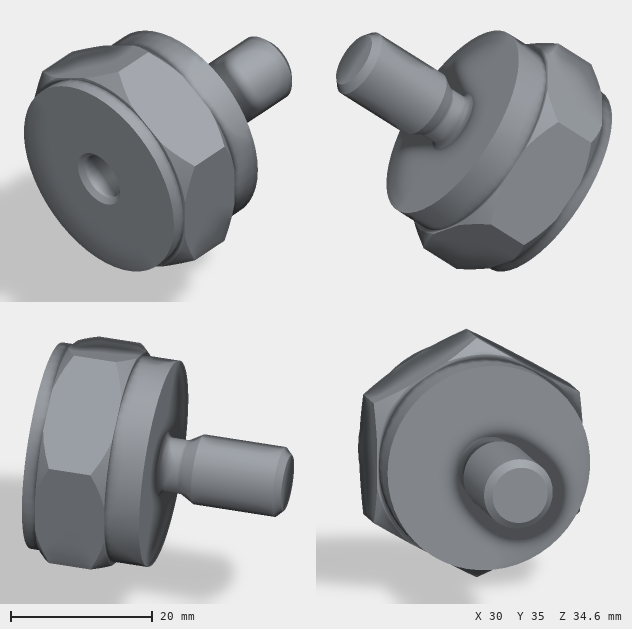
import cadquery as cq
import math

total_length = 35.0

across_flats = 30.0
across_corners = across_flats / math.cos(math.radians(30))
collar_diameter = 29.5
front_collar_length = 2.0
hex_length = 10.0
rear_collar_length = 5.0
hex_start = front_collar_length
hex_end = hex_start + hex_length
body_length = hex_end + rear_collar_length
corner_chamfer = 2.0

stud_diameter = 10.0
stud_chamfer = 1.0
thread_length = 12.8
neck_diameter = 7.7
neck_blend_radius = 0.8
runout_angle = math.radians(30)
flare_angle = math.radians(60)
flare_diameter = 9.05

hole_diameter = 6.8
hole_mouth_diameter = 8.22
hole_depth = 12.0
drill_point_angle = math.radians(118)


def cylinder(diameter, start, end):
    """Round bar along Y between two stations."""
    return cq.Workplane("XZ", origin=(0, start, 0)).circle(diameter / 2).extrude(start - end)


def revolve_about_y(outline):
    """Turn a half-profile whose first coordinate is the radius and second is Y."""
    return outline.close().revolve(360, (0, 0), (0, 1))


def make_hexagon():
    """Hexagon with corners at +Z and -Z, chamfered at 45 degrees at both ends."""
    prism = (
        cq.Workplane("XZ", origin=(0, hex_start, 0))
        .transformed(rotate=(0, 0, 90))
        .polygon(6, across_corners)
        .extrude(-hex_length)
    )
    clearance = 0.35
    envelope_diameter = across_corners + 2 * clearance
    envelope = cylinder(envelope_diameter, hex_start, hex_end).edges().chamfer(corner_chamfer + clearance)
    return prism.intersect(envelope)


def blend_point(neck_station, turn, direction):
    """Point on the arc that leaves the neck tangentially at neck_station, after a given turn."""
    radius = neck_diameter / 2 + neck_blend_radius * (1 - math.cos(turn))
    return radius, neck_station + direction * neck_blend_radius * math.sin(turn)


def make_stud():
    """Stud whose neck flares into the body and runs out conically to the thread."""
    neck_radius = neck_diameter / 2
    stud_radius = stud_diameter / 2
    flare_radius = flare_diameter / 2
    thread_start = total_length - thread_length

    flare_step = flare_radius - neck_radius - neck_blend_radius * (1 - math.cos(flare_angle))
    flare_length = flare_step / math.tan(flare_angle)
    neck_start = body_length + flare_length + neck_blend_radius * math.sin(flare_angle)

    runout_step = stud_radius - neck_radius - neck_blend_radius * (1 - math.cos(runout_angle))
    runout_length = runout_step / math.tan(runout_angle)
    neck_end = thread_start - runout_length - neck_blend_radius * math.sin(runout_angle)

    outline = (
        cq.Workplane("XY")
        .moveTo(0, hex_end)
        .lineTo(0, total_length)
        .lineTo(stud_radius - stud_chamfer, total_length)
        .lineTo(stud_radius, total_length - stud_chamfer)
        .lineTo(stud_radius, thread_start)
        .lineTo(*blend_point(neck_end, runout_angle, 1))
        .threePointArc(blend_point(neck_end, runout_angle / 2, 1), (neck_radius, neck_end))
        .lineTo(neck_radius, neck_start)
        .threePointArc(
            blend_point(neck_start, flare_angle / 2, -1),
            blend_point(neck_start, flare_angle, -1),
        )
        .lineTo(flare_radius, body_length)
        .lineTo(flare_radius, hex_end)
    )
    return revolve_about_y(outline)


def make_hole():
    """Blind drilled hole with a 45 degree countersink and a conical bottom."""
    hole_radius = hole_diameter / 2
    mouth_radius = hole_mouth_diameter / 2
    point_length = hole_radius / math.tan(drill_point_angle / 2)
    outline = (
        cq.Workplane("XY")
        .lineTo(mouth_radius, 0)
        .lineTo(hole_radius, mouth_radius - hole_radius)
        .lineTo(hole_radius, hole_depth)
        .lineTo(0, hole_depth + point_length)
    )
    return revolve_about_y(outline)


collars = cylinder(collar_diameter, 0, body_length)
result = collars.union(make_hexagon()).union(make_stud()).cut(make_hole())